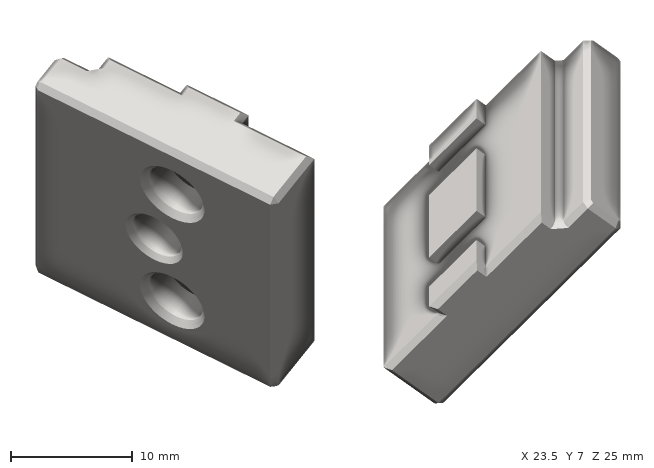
import cadquery as cq
import math

width = 23.5
height = 25.0
body_depth = 6.0
rib_height = 1.0
left = -width / 2
right = width / 2
top = height / 2

step_width = 3.5
step_depth = 4.0
step_x = left + step_width
step_fillet = 0.5

bevel = 0.5
left_bevel_side = 0.4

rib_x = 1.75
hole_pitch = 14.0
large_diameter = 5.2
large_mouth = 6.25
large_depth = 3.25
small_diameter = 4.7
small_mouth = 5.55
small_depth = 5.0

rib_width = 6.0
rib_end_z = 9.05
rib_middle_top = 4.6
rib_middle_bottom = -4.7


def make_body():
    """Stepped plate with a full-height rib and bevelled edges."""
    plate_left = left + bevel
    margin = 0.25
    rib_left = rib_x - rib_width / 2
    rib_right = rib_x + rib_width / 2
    rib_depth = body_depth + rib_height
    outline = [
        (plate_left, 0),
        (right, 0),
        (right, body_depth),
        (rib_right, body_depth),
        (rib_right, rib_depth),
        (rib_left, rib_depth),
        (rib_left, body_depth),
        (step_x, body_depth),
        (step_x, step_depth),
        (plate_left, step_depth),
    ]
    body = cq.Workplane("XY").workplane(offset=-top).polyline(outline).close().extrude(height)
    left_edges = cq.selectors.BoxSelector(
        (plate_left - margin, -margin, -top - margin),
        (plate_left + margin, body_depth, top + margin),
    )
    rims = body.faces("<Z or >Z").edges().edges(cq.selectors.InverseSelector(left_edges))
    right_front = body.edges(cq.selectors.NearestToPointSelector((right, 0, 0)))
    return add_left_tip(rims.add(right_front).chamfer(bevel))


def add_left_tip(body):
    """Tapered tip that forms the bevel around the left end face."""
    taper = math.degrees(math.atan2(left_bevel_side, bevel))
    return body.faces("<X").wires().toPending().workplane().extrude(bevel, taper=taper)


def make_step_fillet():
    """Triangular strip in the step corner, following the bevels at both ends."""
    def triangle(z, inset):
        corner_x = step_x + inset
        corner_y = step_depth - inset
        leg = step_fillet + inset
        points = [(corner_x, corner_y), (corner_x, corner_y + leg), (corner_x - leg, corner_y)]
        return cq.Wire.makePolygon([cq.Vector(x, y, z) for x, y in points], close=True)

    sections = [
        triangle(-top, bevel),
        triangle(-top + bevel, 0),
        triangle(top - bevel, 0),
        triangle(top, bevel),
    ]
    return cq.Workplane(cq.Solid.makeLoft(sections, True))


def make_rib_gap(z_low, z_high):
    """Cutter that removes the rib between two heights."""
    return (
        cq.Workplane("XY")
        .box(rib_width, rib_height, z_high - z_low, centered=(True, False, False))
        .translate((rib_x, body_depth, z_low))
    )


def make_hole(x, z, diameter, mouth, depth):
    """Cutter for a blind, countersunk hole in the front face."""
    radius = diameter / 2
    mouth_radius = mouth / 2
    profile = [
        (0, 0),
        (mouth_radius, 0),
        (radius, mouth_radius - radius),
        (radius, depth),
        (0, depth),
    ]
    return (
        cq.Workplane("XY").polyline(profile).close()
        .revolve(360, (0, 0), (0, 1))
        .translate((x, 0, z))
    )


result = make_body().union(make_step_fillet())
result = result.cut(make_rib_gap(rib_middle_top, rib_end_z))
result = result.cut(make_rib_gap(-rib_end_z, rib_middle_bottom))
for hole_z in (-hole_pitch / 2, hole_pitch / 2):
    result = result.cut(make_hole(rib_x, hole_z, large_diameter, large_mouth, large_depth))
result = result.cut(make_hole(0, 0, small_diameter, small_mouth, small_depth))